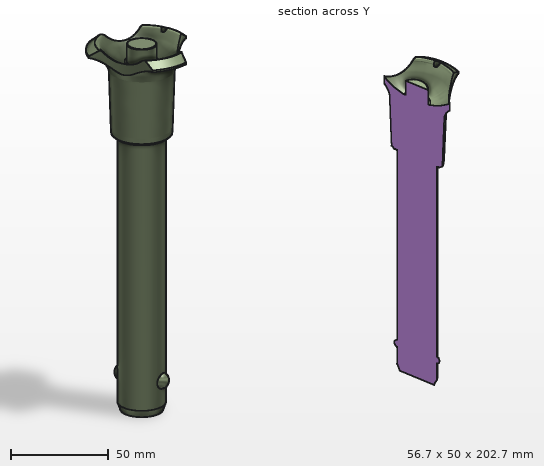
import cadquery as cq
import math

TOTAL_LENGTH = 202.7

SHANK_RADIUS = 12.5
SHANK_TIP_RADIUS = 11.0
SHANK_TIP_LENGTH = 4.2

BALL_RADIUS = 4.5
BALL_REACH = 15.5
BALL_HEIGHT = 18.2

HANDLE_LENGTH = 51.0
BARREL_TOP_RADIUS = 16.95
BARREL_BOTTOM_RADIUS = 15.9
BARREL_TOP_DEPTH = 14.8
BARREL_BOTTOM_DEPTH = 46.5
COLLAR_RADIUS = 15.7
COLLAR_DEPTH = 49.5
HANDLE_END_RADIUS = 14.0

RIM_RADIUS = 28.57
RIM_TOP_DEPTH = 3.6
RIM_BOTTOM_DEPTH = 4.7
FLARE_MID_RADIUS = 20.3
FLARE_MID_DEPTH = 8.5
LIP_OUTER_RADIUS = 24.0
LIP_INNER_RADIUS = 22.0
LIP_INNER_DEPTH = 1.2
LIP_WIDTH = LIP_OUTER_RADIUS - LIP_INNER_RADIUS
LIP_ROLL_RADIUS = (LIP_WIDTH**2 + LIP_INNER_DEPTH**2) / (2 * LIP_INNER_DEPTH)

BOWL_MID_RADIUS = 18.2
BOWL_MID_DEPTH = 5.2
BOWL_FLOOR_RADIUS = 8.8
BOWL_FLOOR_DEPTH = 10.3
BUTTON_RADIUS = 7.7
BUTTON_TOP_DEPTH = 0.4
BUTTON_CHAMFER = 0.35

NOTCH_DISTANCE = 18.2
FRONT_NOTCH_RADIUS = 56.0
SIDE_NOTCH_RADIUS = 36.0
FRONT_NOTCH_ANGLE = -90.0
SIDE_NOTCH_ANGLES = (30.0, 150.0)

LANYARD_HOLE_RADIUS = 1.5
LANYARD_HOLE_DISTANCE = 23.0
LANYARD_HOLE_ANGLE = 90.0

HANDLE_BASE_Z = TOTAL_LENGTH - HANDLE_LENGTH


def below_top(radius, depth):
    """Profile point at a radius and a depth below the top of the handle."""
    return (radius, TOTAL_LENGTH - depth)


def make_body():
    """Shank, barrel, flared head, bowl and button as one revolved profile."""
    profile = (
        cq.Workplane("XZ")
        .moveTo(0, 0)
        .lineTo(SHANK_TIP_RADIUS, 0)
        .lineTo(SHANK_RADIUS, SHANK_TIP_LENGTH)
        .lineTo(SHANK_RADIUS, HANDLE_BASE_Z)
        .lineTo(HANDLE_END_RADIUS, HANDLE_BASE_Z)
        .lineTo(*below_top(COLLAR_RADIUS, COLLAR_DEPTH))
        .lineTo(*below_top(BARREL_BOTTOM_RADIUS, BARREL_BOTTOM_DEPTH))
        .lineTo(*below_top(BARREL_TOP_RADIUS, BARREL_TOP_DEPTH))
        .threePointArc(
            below_top(FLARE_MID_RADIUS, FLARE_MID_DEPTH),
            below_top(RIM_RADIUS, RIM_BOTTOM_DEPTH),
        )
        .lineTo(*below_top(RIM_RADIUS, RIM_TOP_DEPTH))
        .lineTo(*below_top(LIP_OUTER_RADIUS, 0))
        .radiusArc(below_top(LIP_INNER_RADIUS, LIP_INNER_DEPTH), -LIP_ROLL_RADIUS)
        .threePointArc(
            below_top(BOWL_MID_RADIUS, BOWL_MID_DEPTH),
            below_top(BOWL_FLOOR_RADIUS, BOWL_FLOOR_DEPTH),
        )
        .lineTo(*below_top(BUTTON_RADIUS, BOWL_FLOOR_DEPTH))
        .lineTo(*below_top(BUTTON_RADIUS, BUTTON_TOP_DEPTH + BUTTON_CHAMFER))
        .lineTo(*below_top(BUTTON_RADIUS - BUTTON_CHAMFER, BUTTON_TOP_DEPTH))
        .lineTo(*below_top(0, BUTTON_TOP_DEPTH))
        .close()
    )
    return profile.revolve(360, (0, 0), (0, 1))


def make_head_cutter(radius, distance, angle):
    """Vertical cylinder through the head, its axis at a polar position."""
    x = distance * math.cos(math.radians(angle))
    y = distance * math.sin(math.radians(angle))
    return (
        cq.Workplane("XY", origin=(x, y, HANDLE_BASE_Z))
        .circle(radius)
        .extrude(HANDLE_LENGTH)
    )


def make_notch(radius, angle):
    """Cutter for one finger notch, nearest the axis at the given polar angle."""
    return make_head_cutter(radius, NOTCH_DISTANCE + radius, angle)


def make_ball(side):
    """Locking ball standing out of the shank at -X (side -1) or +X (side +1)."""
    x = side * (BALL_REACH - BALL_RADIUS)
    return cq.Workplane("XY", origin=(x, 0, BALL_HEIGHT)).sphere(BALL_RADIUS)


result = make_body()

result = result.cut(make_notch(FRONT_NOTCH_RADIUS, FRONT_NOTCH_ANGLE))
for notch_angle in SIDE_NOTCH_ANGLES:
    result = result.cut(make_notch(SIDE_NOTCH_RADIUS, notch_angle))

result = result.cut(make_head_cutter(LANYARD_HOLE_RADIUS, LANYARD_HOLE_DISTANCE, LANYARD_HOLE_ANGLE))

for ball_side in (-1, 1):
    result = result.union(make_ball(ball_side))